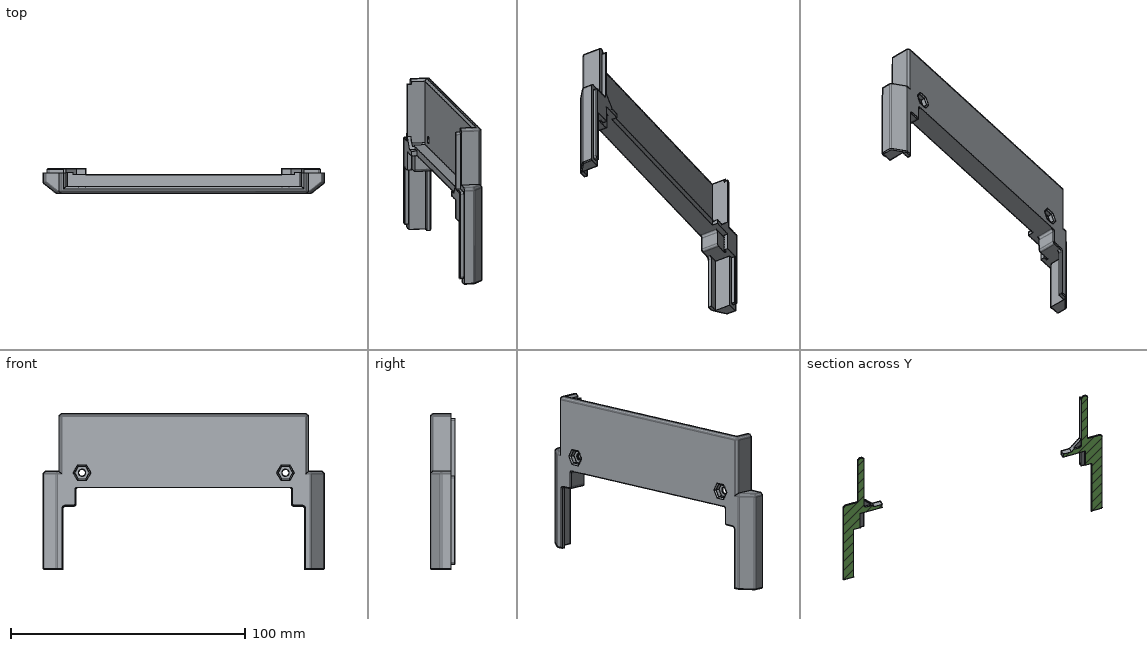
import cadquery as cq
import math

half_width = 60.0
height = 66.5
body_depth = 8.85
total_depth = 10.65

wall_half_width = 53.3
wall = 3.0
inner_half_width = wall_half_width - wall
rim_chamfer = 1.0
soft_radius = 0.6
floor_top = 38.0
shelf_depth = 8.15
corner_chamfer = 0.7

leg_top = 42.0
leg_inner_x = 51.5
leg_facet_x = 5.7
leg_facet_y = 4.5
leg_facet_start = half_width - leg_facet_x
facet_radius = 1.05
leg_root_x = 52.0
leg_front_wall = 1.8
leg_cavity_x = 55.0

opening_top = 35.0
step_bottom = 27.0
step_x = 46.0
opening_chamfer = 0.45
opening_corner_radius = 1.0

tongue_outer_x = 58.4
tongue_leg_width = 1.9
tongue_bottom = 2.1
tongue_leg_top = 40.0
tongue_top = 64.5
tongue_wall_width = 1.0
tongue_corner_radius = 0.9
tongue_leg_inner = tongue_outer_x - tongue_leg_width
tongue_wall_outer = inner_half_width + tongue_wall_width
tongue_chamfer = 0.4

gusset_inner_x = 41.8
gusset_top = 37.0
gusset_slope_x = 45.7
gusset_notch_x = 47.2
gusset_notch_y = 9.1

hole_x = 43.4
hole_z = 41.3
hole_diameter = 2.9
nut_flats = 5.4
nut_mouth_chamfer = 0.6
nut_depth = 2.4
hexagon_sides = 6

overshoot = 5.0
edge_tolerance = 0.1


def box(x, y, z):
    """Box from three (low, high) ranges."""
    size = [high - low for low, high in (x, y, z)]
    return cq.Workplane("XY").box(*size, centered=False).translate((x[0], y[0], z[0]))


def front_extrusion(points, start, end):
    """Extrude an XZ outline from y = start to y = end."""
    return cq.Workplane("XZ", origin=(0, start, 0)).polyline(points).close().extrude(start - end)


def upper_plate():
    """Full-width plate with bevelled and softened top and side edges."""
    plate = box((-wall_half_width, wall_half_width), (0, body_depth), (opening_top, height))
    plate = plate.edges("(<Y and |Z) or (>Z and (not >Y))").chamfer(rim_chamfer)
    bevel_edges = cq.selectors.BoxSelector(
        (-half_width, -overshoot, opening_top + rim_chamfer),
        (half_width, body_depth - rim_chamfer, height + overshoot),
    )
    return plate.edges(bevel_edges).fillet(soft_radius)


def rear_space():
    """Space enclosed by the front wall, the side walls and the shelf, widening at the rim."""
    pocket = box(
        (-inner_half_width, inner_half_width),
        (wall, total_depth + overshoot),
        (opening_top, height + overshoot),
    )
    rim_half_width = inner_half_width + rim_chamfer
    rim = box(
        (-rim_half_width, rim_half_width),
        (wall - rim_chamfer, total_depth + overshoot),
        (height - rim_chamfer, height + overshoot),
    )
    rim = rim.edges("<Z and (not >Y)").chamfer(rim_chamfer)
    return pocket.union(rim)


def shelf():
    """Shelf above the opening, spanning the side walls behind the front wall."""
    return box((-inner_half_width, inner_half_width), (wall, shelf_depth), (opening_top, floor_top))


def opening_frame():
    """Right half of the stepped border of the opening, down to the foot of the leg."""
    outline = [
        (0, floor_top),
        (0, opening_top),
        (step_x, opening_top),
        (step_x, step_bottom),
        (leg_inner_x, step_bottom),
        (leg_inner_x, 0),
        (wall_half_width, 0),
        (wall_half_width, floor_top),
    ]
    frame = front_extrusion(outline, 0, shelf_depth)
    step_corners = cq.selectors.BoxSelector(
        (step_x - overshoot, 0, step_bottom - overshoot),
        (wall_half_width - rim_chamfer, shelf_depth, opening_top + opening_corner_radius),
    )
    frame = frame.edges("|Y").edges(step_corners).fillet(opening_corner_radius)
    border = cq.selectors.BoxSelector(
        (opening_chamfer, -overshoot, -overshoot),
        (wall_half_width - opening_chamfer, opening_chamfer, opening_top + opening_chamfer),
    )
    return frame.edges(border).chamfer(opening_chamfer)


def leg():
    """Right leg with a large outer facet and bevelled ends."""
    outline = [
        (leg_root_x, 0),
        (leg_facet_start, 0),
        (half_width, leg_facet_y),
        (half_width, body_depth),
        (leg_root_x, body_depth),
    ]
    solid = cq.Workplane("XY").polyline(outline).close().extrude(leg_top)
    solid = solid.edges("|Z and (not >Y) and (not <X)").fillet(facet_radius)
    solid = solid.faces(">Z").edges("not (>Y or <X)").chamfer(rim_chamfer)
    solid = solid.faces("<Z").edges("not (>Y or <X)").chamfer(opening_chamfer)
    solid = solid.faces(">Z").edges("not (>Y or <X)").fillet(soft_radius)
    bevel_foot = leg_top - rim_chamfer
    lower_bevel_edges = cq.selectors.BoxSelector(
        (leg_root_x, -overshoot, bevel_foot - edge_tolerance),
        (half_width + overshoot, body_depth - rim_chamfer, bevel_foot + edge_tolerance),
    )
    return solid.edges(lower_bevel_edges).fillet(soft_radius)


def leg_cavity():
    """Space behind the front wall of the right leg, open to the inside."""
    return box(
        (0, leg_cavity_x),
        (leg_front_wall, body_depth + overshoot),
        (-overshoot, step_bottom),
    )


def tongue():
    """Right locating tongue, standing on the joint plane of the leg and the side wall."""
    outline = [
        (inner_half_width, step_bottom),
        (tongue_leg_inner, step_bottom),
        (tongue_leg_inner, tongue_bottom),
        (tongue_outer_x, tongue_bottom),
        (tongue_outer_x, tongue_leg_top),
        (tongue_wall_outer, tongue_leg_top),
        (tongue_wall_outer, tongue_top),
        (inner_half_width, tongue_top),
    ]
    solid = front_extrusion(outline, body_depth, total_depth)
    solid = solid.edges("|Y and >X").fillet(tongue_corner_radius)
    wall_corner = cq.selectors.NearestToPointSelector((tongue_wall_outer, total_depth, tongue_top))
    solid = solid.edges("|Y").edges(wall_corner).fillet(tongue_corner_radius)
    back_edges = cq.selectors.BoxSelector(
        (tongue_leg_inner, total_depth - tongue_chamfer, 0),
        (half_width, total_depth + overshoot, tongue_leg_top - tongue_chamfer),
    )
    return solid.edges(back_edges).chamfer(tongue_chamfer)


def gusset():
    """Right block behind the shelf, with a top that slopes up to the side wall."""
    outline = [
        (gusset_inner_x, opening_top),
        (inner_half_width, opening_top),
        (inner_half_width, gusset_top + inner_half_width - gusset_slope_x),
        (gusset_slope_x, gusset_top),
        (gusset_inner_x, gusset_top),
    ]
    solid = front_extrusion(outline, shelf_depth, total_depth)
    corner_range = (gusset_notch_x, inner_half_width), (shelf_depth, gusset_notch_y)
    notch = box(*corner_range, (floor_top, height))
    corner_floor = box(*corner_range, (opening_top, floor_top))
    return solid.cut(notch).union(corner_floor)


def corner_slope():
    """Right sloping joint between the shelf and the side wall."""
    outline = [
        (inner_half_width - corner_chamfer, floor_top),
        (inner_half_width, floor_top),
        (inner_half_width, floor_top + corner_chamfer),
    ]
    return front_extrusion(outline, wall, total_depth)


def screw_hole():
    """Right through hole with a hexagonal nut pocket in the front face."""
    corner_ratio = 1 / math.cos(math.pi / hexagon_sides)
    centre = cq.Workplane("XZ", origin=(hole_x, 0, hole_z))
    hole = centre.circle(hole_diameter / 2).extrude(-wall - overshoot)
    pocket = centre.polygon(hexagon_sides, nut_flats * corner_ratio).extrude(-nut_depth)
    mouth_flats = nut_flats + 2 * nut_mouth_chamfer
    mouth = (
        centre.polygon(hexagon_sides, mouth_flats * corner_ratio)
        .workplane(offset=-nut_mouth_chamfer)
        .polygon(hexagon_sides, nut_flats * corner_ratio)
        .loft()
    )
    return hole.union(pocket).union(mouth)


right_side = opening_frame().union(leg()).cut(leg_cavity())
right_side = right_side.union(tongue()).union(gusset()).union(corner_slope())
both_sides = right_side.union(right_side.mirror("YZ"))
holes = screw_hole().union(screw_hole().mirror("YZ"))

result = upper_plate().cut(rear_space()).union(shelf()).union(both_sides).cut(holes).clean()